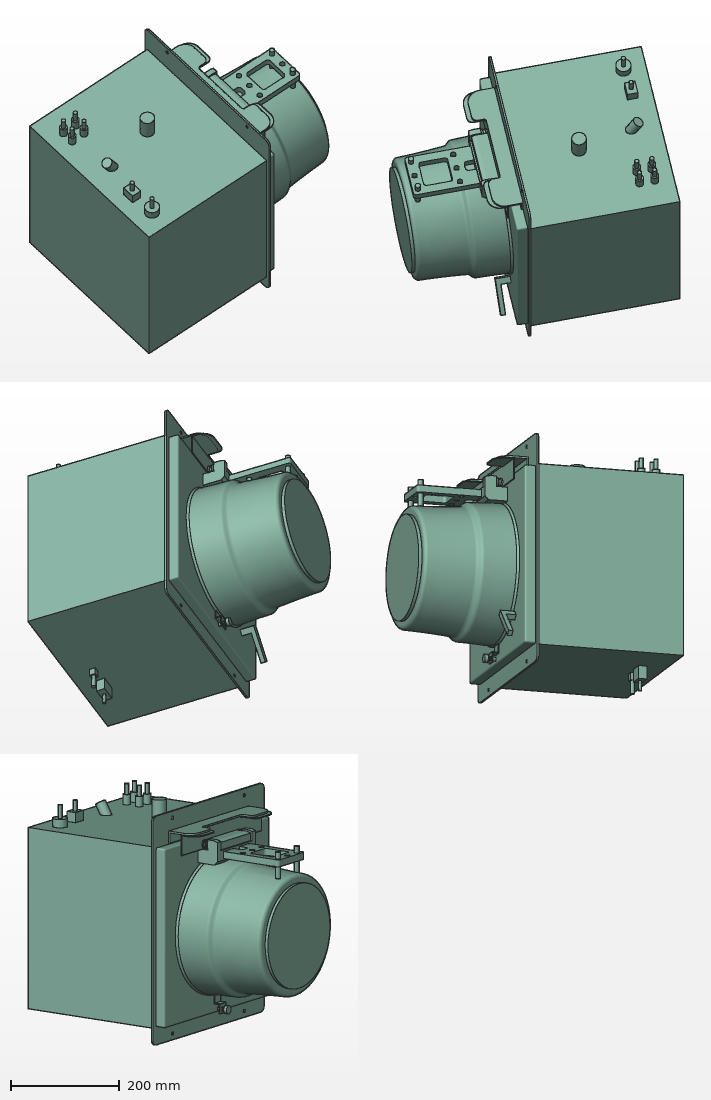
import cadquery as cq
import math


CABINET_SIDE = 342.0
CABINET_DEPTH = 282.0
CABINET_TOP = CABINET_SIDE / 2
CABINET_BOTTOM = -CABINET_SIDE / 2

FLANGE_WIDTH = 356.0
FLANGE_TOP = 228.5
FLANGE_BOTTOM = -203.0
FLANGE_THICKNESS = 3.5
FLANGE_CORNER_RADIUS = 11.5
FLANGE_BACK = CABINET_DEPTH + FLANGE_THICKNESS
FLANGE_HOLE_DIAMETER = 6.0
FLANGE_HOLE_X = 114.5
FLANGE_HOLE_HEIGHTS = (216.0, -190.5)

LEAD_DIAMETER = 8.0
LEAD_TIP = 210.0

PLUG_DIAMETER = 14.0
PLUG_TOP = 190.0
PLUG_XS = (-117.5, -92.5)
PLUG_YS = (36.0, 64.5)

SQUARE_PLUG_WIDTH = 25.5
SQUARE_PLUG_DEPTH = 19.5
SQUARE_PLUG_X = 76.0
SQUARE_PLUG_Y = 39.0

ROUND_PLUG_DIAMETER = 28.0
ROUND_PLUG_TOP = 186.5
ROUND_PLUG_X = 129.0
ROUND_PLUG_Y = 42.5
ROUND_PLUG_LEAD_TIP = 211.5

PIPE_DIAMETER = 27.0
PIPE_X = -23.0
PIPE_Y = 158.5

SPOUT_DIAMETER = 20.0
SPOUT_TILT = 30.0
SPOUT_TIP_Y = 42.0
SPOUT_TIP_Z = 192.5
SPOUT_LENGTH = 39.0

LOWER_PLUGS_Y = 47.5
WIDE_PLUG_WIDTH = 32.0
WIDE_PLUG_DEPTH = 16.0
WIDE_PLUG_X = -56.5
WIDE_PLUG_BOTTOM = -195.5
WIDE_PLUG_LEAD_DIAMETER = 6.0
WIDE_PLUG_LEAD_TIP = -214.5
NARROW_PLUG_SIDE = 11.5
NARROW_PLUG_X = -11.0
NARROW_PLUG_BOTTOM = -184.5
NARROW_PLUG_LEAD_TIP = -209.5

BRACKET_WIDTH = 254.0
EAR_OUTER_RADIUS = 23.5
EAR_INNER_RADIUS = 10.5
EAR_GAP_HALF_WIDTH = 64.5
EAR_GAP_CORNER_RADIUS = 4.5
EAR_GAP_FLOOR_Y = 314.5

UPPER_SHEET = 3.5
UPPER_BRACKET_TOP = 193.5
UPPER_BRACKET_END_Y = 339.5
UPPER_BRACKET_FOOT = 170.5
UPPER_BRACKET_BOTTOM = UPPER_BRACKET_TOP - UPPER_SHEET

LOWER_SHEET = 2.0
LOWER_BRACKET_TOP = UPPER_BRACKET_BOTTOM
LOWER_BRACKET_END_Y = 348.5
LOWER_BRACKET_LEG_Y = EAR_GAP_FLOOR_Y - LOWER_SHEET

DOOR_WIDTH = 334.5
DOOR_HEIGHT = 337.0
DOOR_BACK = 305.0
DOOR_EDGE_RADIUS = 3.5

LENS_AXIS_Z = -1.5
LENS_REAR_Y = 310.0
LENS_REAR_RADIUS = 131.5
LENS_FLARE = 2.5
SHOULDER_START_Y = 369.5
SHOULDER_START_RADIUS = 129.0
SHOULDER_EDGE_Y = 377.0
SHOULDER_EDGE_RADIUS = 126.0
NECK_EDGE_Y = 380.0
NECK_EDGE_RADIUS = 122.5
BARREL_START_Y = 385.0
BARREL_START_RADIUS = 120.0
BARREL_MIDDLE_Y = 430.0
BARREL_MIDDLE_RADIUS = 117.0
BARREL_END_Y = 474.0
BARREL_END_RADIUS = 115.0
RIM_Y = 482.5
RIM_ROUND = BARREL_END_RADIUS - 7.0
ARC_SAG = 0.5
CAP_RADIUS = 98.5
CAP_Y = 488.5

HINGE_HALF_WIDTH = 61.0
HINGE_MIDDLE_HALF_WIDTH = 50.0
HINGE_BOTTOM = 124.0
HINGE_BACK = 348.5
HINGE_MIDDLE_BACK = 345.0
HINGE_STEP_Z = 150.5
HINGE_MIDDLE_TOP = 167.0
HINGE_BEVEL_DEPTH = 8.5
HINGE_BEVEL_DROP = 2.5
HINGE_LOWER_BEVEL = 7.0
CHEEK_FRONT = 326.0
CHEEK_TOP = 170.0
HINGE_BOLT_X = 55.0
HINGE_BOLT_Z = 160.0
HINGE_BOLT_HEAD_DIAMETER = 16.5
HINGE_BOLT_HEAD_FRONT = 322.0
HINGE_BOLT_SHAFT_DIAMETER = 12.5
HINGE_WASHER_DIAMETER = 15.5
HINGE_WASHER_BACK = 317.5

ARM_WIDTH = 82.5
ARM_BOTTOM = 134.0
ARM_TOP = 147.0
ARM_END_Y = 472.5
ARM_CORNER_RADIUS = 5.0
WINDOW_WIDTH = 51.5
WINDOW_START_Y = 396.0
WINDOW_END_Y = 450.0
WINDOW_CORNER_RADIUS = 6.0
NOTCH_WIDTH = 20.0
NOTCH_END_Y = 368.0
NOTCH_CORNER_RADIUS = 6.0
ARM_HOLE_DIAMETER = 10.0
ARM_HOLE_SPACING = 30.0
ARM_HOLE_ROWS = (383.5, 463.0)
STUD_Y = ARM_HOLE_ROWS[1]
STUD_BOTTOM = 109.5
STUD_TOP = 159.5

LATCH_FRONT = 324.0
LATCH_BACK = 333.0
LATCH_WIDTH = 11.0
LATCH_LENGTH = 70.5
LATCH_FOOT_THICKNESS = 12.0
LATCH_TIP_X = -154.0
LATCH_TIP_Z = -144.5
LATCH_ANGLE = 45.0
BOLT_X = 0.0
BOLT_Z = -161.5
BOLT_HEAD_RADIUS = 8.0
BOLT_HEAD_BACK = 331.0
BOLT_NUT_FRONT = 321.0
BOLT_NUT_RADIUS = 5.5
BOLT_SHAFT_RADIUS = 4.0
BOLT_END_Y = 308.5
KEEPER_SHEET = 2.0
KEEPER_WIDTH = 19.5
KEEPER_TOP = -150.0
KEEPER_BOTTOM = -169.0
KEEPER_BACK = 318.0


def block(x_range, y_range, z_range):
    """Rectangular block between two limits along each axis."""
    low, high = zip(x_range, y_range, z_range)
    size = [b - a for a, b in zip(low, high)]
    return cq.Workplane("XY").box(*size, centered=False).translate(low)


def wide_block(width, y_range, z_range):
    """Rectangular block centred on X = 0."""
    return block((-width / 2, width / 2), y_range, z_range)


def upright(x, y, diameter, z_start, z_end):
    """Round bar parallel to Z."""
    bar = cq.Workplane("XY").circle(diameter / 2).extrude(z_end - z_start)
    return bar.translate((x, y, z_start))


def lengthwise(x, z, radius, y_start, y_end):
    """Round bar parallel to Y."""
    bar = cq.Workplane("XZ").circle(radius).extrude(y_start - y_end)
    return bar.translate((x, y_start, z))


def box_plug(x, y, width, depth, z_range):
    """Rectangular connector body centred at (x, y)."""
    return block((x - width / 2, x + width / 2), (y - depth / 2, y + depth / 2), z_range)



def mounting_flange():
    """Rounded plate on the back of the cabinet with four fixing holes."""
    plate = wide_block(FLANGE_WIDTH, (CABINET_DEPTH, FLANGE_BACK), (FLANGE_BOTTOM, FLANGE_TOP))
    plate = plate.edges("|Y").fillet(FLANGE_CORNER_RADIUS)
    for x in (-FLANGE_HOLE_X, FLANGE_HOLE_X):
        for z in FLANGE_HOLE_HEIGHTS:
            plate = plate.cut(lengthwise(x, z, FLANGE_HOLE_DIAMETER / 2, CABINET_DEPTH, FLANGE_BACK))
    return plate


def upper_connectors():
    """Plugs and leads on top of the cabinet."""
    parts = []
    for x in PLUG_XS:
        for y in PLUG_YS:
            parts.append(upright(x, y, PLUG_DIAMETER, CABINET_TOP, PLUG_TOP))
            parts.append(upright(x, y, LEAD_DIAMETER, PLUG_TOP, LEAD_TIP))

    square_heights = (CABINET_TOP, PLUG_TOP)
    parts.append(
        box_plug(SQUARE_PLUG_X, SQUARE_PLUG_Y, SQUARE_PLUG_WIDTH, SQUARE_PLUG_DEPTH, square_heights)
    )
    parts.append(upright(SQUARE_PLUG_X, SQUARE_PLUG_Y, LEAD_DIAMETER, PLUG_TOP, LEAD_TIP))

    parts.append(
        upright(ROUND_PLUG_X, ROUND_PLUG_Y, ROUND_PLUG_DIAMETER, CABINET_TOP, ROUND_PLUG_TOP)
    )
    parts.append(
        upright(ROUND_PLUG_X, ROUND_PLUG_Y, LEAD_DIAMETER, ROUND_PLUG_TOP, ROUND_PLUG_LEAD_TIP)
    )

    parts.append(upright(PIPE_X, PIPE_Y, PIPE_DIAMETER, CABINET_TOP, LEAD_TIP))
    return parts


def tilted_spout():
    """Round spout leaning toward the front; its lower end is buried in the cabinet."""
    spout = cq.Workplane("XY").circle(SPOUT_DIAMETER / 2).extrude(-SPOUT_LENGTH)
    spout = spout.rotate((0, 0, 0), (1, 0, 0), SPOUT_TILT)
    return spout.translate((0, SPOUT_TIP_Y, SPOUT_TIP_Z))


def lower_connectors():
    """Plugs and leads under the cabinet."""
    wide_heights = (WIDE_PLUG_BOTTOM, CABINET_BOTTOM)
    narrow_heights = (NARROW_PLUG_BOTTOM, CABINET_BOTTOM)
    y = LOWER_PLUGS_Y
    return [
        box_plug(WIDE_PLUG_X, y, WIDE_PLUG_WIDTH, WIDE_PLUG_DEPTH, wide_heights),
        upright(WIDE_PLUG_X, y, WIDE_PLUG_LEAD_DIAMETER, WIDE_PLUG_LEAD_TIP, WIDE_PLUG_BOTTOM),
        box_plug(NARROW_PLUG_X, y, NARROW_PLUG_SIDE, NARROW_PLUG_SIDE, narrow_heights),
        upright(NARROW_PLUG_X, y, LEAD_DIAMETER, NARROW_PLUG_LEAD_TIP, NARROW_PLUG_BOTTOM),
    ]


def eared_sheet(y_start, y_end, z_range):
    """Level sheet whose back edge has two rounded ears with a gap between them."""
    sheet = wide_block(BRACKET_WIDTH, (y_start, y_end), z_range)
    sheet = sheet.edges("|Z and >Y").fillet(EAR_OUTER_RADIUS)
    gap = wide_block(2 * EAR_GAP_HALF_WIDTH, (EAR_GAP_FLOOR_Y, y_end), z_range)
    sheet = sheet.cut(gap.edges("|Z and <Y").fillet(EAR_GAP_CORNER_RADIUS))
    gap_mouth = cq.selectors.BoxSelector(
        (-EAR_GAP_HALF_WIDTH - EAR_INNER_RADIUS, y_end - EAR_INNER_RADIUS, z_range[0]),
        (EAR_GAP_HALF_WIDTH + EAR_INNER_RADIUS, y_end + EAR_INNER_RADIUS, z_range[1]),
    )
    return sheet.edges("|Z").edges(gap_mouth).fillet(EAR_INNER_RADIUS)


def upper_bracket():
    """Bent sheet fixed to the flange above the door."""
    shelf_heights = (UPPER_BRACKET_BOTTOM, UPPER_BRACKET_TOP)
    shelf = eared_sheet(FLANGE_BACK, UPPER_BRACKET_END_Y, shelf_heights)
    leg = wide_block(
        BRACKET_WIDTH,
        (FLANGE_BACK, FLANGE_BACK + UPPER_SHEET),
        (UPPER_BRACKET_FOOT, UPPER_BRACKET_TOP),
    )
    return shelf.union(leg)


def make_housing():
    """Cabinet with flange, connectors and upper bracket."""
    body = wide_block(CABINET_SIDE, (0, CABINET_DEPTH), (CABINET_BOTTOM, CABINET_TOP))
    body = body.union(mounting_flange())
    body = body.union(upper_bracket())
    body = body.union(tilted_spout())
    for connector in upper_connectors() + lower_connectors():
        body = body.union(connector)
    return body



def door_panel():
    """Flat door with rounded back and corner edges."""
    panel = wide_block(DOOR_WIDTH, (FLANGE_BACK, DOOR_BACK), (-DOOR_HEIGHT / 2, DOOR_HEIGHT / 2))
    return panel.edges("|Y or >Y").fillet(DOOR_EDGE_RADIUS)


def lens():
    """Stepped lens barrel turned about an axis parallel to Y."""
    shoulder_middle = (SHOULDER_START_RADIUS - ARC_SAG, (SHOULDER_START_Y + SHOULDER_EDGE_Y) / 2)
    neck_middle_radius = (NECK_EDGE_RADIUS + BARREL_START_RADIUS) / 2 - ARC_SAG
    neck_middle = (neck_middle_radius, (NECK_EDGE_Y + BARREL_START_Y) / 2)
    bulge = 1 - math.sqrt(0.5)
    rim_middle = (
        BARREL_END_RADIUS - bulge * (BARREL_END_RADIUS - RIM_ROUND),
        RIM_Y - bulge * (RIM_Y - BARREL_END_Y),
    )
    profile = (
        cq.Workplane("XY")
        .moveTo(0, FLANGE_BACK)
        .lineTo(LENS_REAR_RADIUS + LENS_FLARE, FLANGE_BACK)
        .lineTo(LENS_REAR_RADIUS + LENS_FLARE, DOOR_BACK)
        .lineTo(LENS_REAR_RADIUS, LENS_REAR_Y)
        .lineTo(SHOULDER_START_RADIUS, SHOULDER_START_Y)
        .threePointArc(shoulder_middle, (SHOULDER_EDGE_RADIUS, SHOULDER_EDGE_Y))
        .lineTo(NECK_EDGE_RADIUS, NECK_EDGE_Y)
        .threePointArc(neck_middle, (BARREL_START_RADIUS, BARREL_START_Y))
        .threePointArc((BARREL_MIDDLE_RADIUS, BARREL_MIDDLE_Y), (BARREL_END_RADIUS, BARREL_END_Y))
        .threePointArc(rim_middle, (RIM_ROUND, RIM_Y))
        .lineTo(CAP_RADIUS, RIM_Y)
        .lineTo(CAP_RADIUS, CAP_Y)
        .lineTo(0, CAP_Y)
        .close()
    )
    return profile.revolve(360, (0, 0), (0, 1)).translate((0, 0, LENS_AXIS_Z))


def side_extrusion(points, x_start, x_end):
    """Outline given as (y, z) points, extruded along X."""
    outline = cq.Workplane("YZ").polyline(points).close()
    return outline.extrude(x_end - x_start).translate((x_start, 0, 0))


def hinge_block():
    """Stepped block above the lens with a raised cheek at each end."""
    base = side_extrusion(
        [
            (DOOR_BACK, HINGE_BOTTOM),
            (HINGE_BACK - HINGE_LOWER_BEVEL, HINGE_BOTTOM),
            (HINGE_BACK, HINGE_BOTTOM + HINGE_LOWER_BEVEL),
            (HINGE_BACK, HINGE_STEP_Z),
            (DOOR_BACK, HINGE_STEP_Z),
        ],
        -HINGE_HALF_WIDTH,
        HINGE_HALF_WIDTH,
    )
    middle = side_extrusion(
        [
            (EAR_GAP_FLOOR_Y, HINGE_STEP_Z),
            (HINGE_MIDDLE_BACK, HINGE_STEP_Z),
            (HINGE_MIDDLE_BACK, HINGE_MIDDLE_TOP - HINGE_BEVEL_DROP),
            (HINGE_MIDDLE_BACK - HINGE_BEVEL_DEPTH, HINGE_MIDDLE_TOP),
            (EAR_GAP_FLOOR_Y, HINGE_MIDDLE_TOP),
        ],
        -HINGE_MIDDLE_HALF_WIDTH,
        HINGE_MIDDLE_HALF_WIDTH,
    )
    cheek_outline = [
        (CHEEK_FRONT, HINGE_STEP_Z),
        (HINGE_BACK, HINGE_STEP_Z),
        (HINGE_BACK, CHEEK_TOP - HINGE_BEVEL_DROP),
        (HINGE_BACK - HINGE_BEVEL_DEPTH, CHEEK_TOP),
        (CHEEK_FRONT, CHEEK_TOP),
    ]
    hinge = base.union(middle)
    for x in (-HINGE_HALF_WIDTH, HINGE_MIDDLE_HALF_WIDTH):
        cheek = side_extrusion(cheek_outline, x, x + HINGE_HALF_WIDTH - HINGE_MIDDLE_HALF_WIDTH)
        hinge = hinge.union(cheek)
    return hinge


def hinge_bolts():
    """Two bolts joining the cheeks to the leg of the lower bracket."""
    bolts = []
    for x in (-HINGE_BOLT_X, HINGE_BOLT_X):
        head_radius = HINGE_BOLT_HEAD_DIAMETER / 2
        shaft_radius = HINGE_BOLT_SHAFT_DIAMETER / 2
        head = lengthwise(x, HINGE_BOLT_Z, head_radius, HINGE_BOLT_HEAD_FRONT, CHEEK_FRONT)
        shaft = lengthwise(x, HINGE_BOLT_Z, shaft_radius, EAR_GAP_FLOOR_Y, HINGE_BOLT_HEAD_FRONT)
        washer_radius = HINGE_WASHER_DIAMETER / 2
        washer = lengthwise(x, HINGE_BOLT_Z, washer_radius, EAR_GAP_FLOOR_Y, HINGE_WASHER_BACK)
        bolts.append(head.union(shaft).union(washer))
    return bolts


def lower_bracket():
    """Bent sheet standing on the hinge block, under the upper bracket."""
    shelf_heights = (LOWER_BRACKET_TOP - LOWER_SHEET, LOWER_BRACKET_TOP)
    shelf = eared_sheet(LOWER_BRACKET_LEG_Y, LOWER_BRACKET_END_Y, shelf_heights)
    leg = wide_block(
        BRACKET_WIDTH, (LOWER_BRACKET_LEG_Y, EAR_GAP_FLOOR_Y), (HINGE_STEP_Z, LOWER_BRACKET_TOP)
    )
    return shelf.union(leg)


def arm():
    """Flat arm with a window, a notch, two rows of holes and two studs."""
    heights = (ARM_BOTTOM, ARM_TOP)
    plate = wide_block(ARM_WIDTH, (HINGE_BACK, ARM_END_Y), heights)
    plate = plate.edges("|Z and >Y").fillet(ARM_CORNER_RADIUS)

    window = wide_block(WINDOW_WIDTH, (WINDOW_START_Y, WINDOW_END_Y), heights)
    plate = plate.cut(window.edges("|Z").fillet(WINDOW_CORNER_RADIUS))

    notch = wide_block(NOTCH_WIDTH, (HINGE_BACK, NOTCH_END_Y), heights)
    plate = plate.cut(notch.edges("|Z and >Y").fillet(NOTCH_CORNER_RADIUS))

    for x in (-ARM_HOLE_SPACING, 0, ARM_HOLE_SPACING):
        for y in ARM_HOLE_ROWS:
            plate = plate.cut(upright(x, y, ARM_HOLE_DIAMETER, ARM_BOTTOM, ARM_TOP))

    for x in (-ARM_HOLE_SPACING, ARM_HOLE_SPACING):
        plate = plate.union(upright(x, STUD_Y, ARM_HOLE_DIAMETER, STUD_BOTTOM, STUD_TOP))
    return plate


def latch_lever():
    """Slanting bar with a foot that joins it to the door."""
    bar = block((0, LATCH_LENGTH), (LATCH_FRONT, LATCH_BACK), (-LATCH_WIDTH, 0))
    foot = block(
        (LATCH_LENGTH - LATCH_FOOT_THICKNESS, LATCH_LENGTH), (DOOR_BACK, LATCH_BACK), (-LATCH_WIDTH, 0)
    )
    lever = bar.union(foot).rotate((0, 0, 0), (0, 1, 0), -LATCH_ANGLE)
    return lever.translate((LATCH_TIP_X, 0, LATCH_TIP_Z))


def latch_bolt():
    """Headed bolt with its nut, held in the keeper."""
    head = lengthwise(BOLT_X, BOLT_Z, BOLT_HEAD_RADIUS, LATCH_FRONT, BOLT_HEAD_BACK)
    nut = lengthwise(BOLT_X, BOLT_Z, BOLT_NUT_RADIUS, BOLT_NUT_FRONT, LATCH_FRONT)
    shaft = lengthwise(BOLT_X, BOLT_Z, BOLT_SHAFT_RADIUS, BOLT_END_Y, BOLT_NUT_FRONT)
    return head.union(nut).union(shaft)


def keeper():
    """Small bent sheet on the door that holds the latch bolt."""
    width = (BOLT_X - KEEPER_WIDTH / 2, BOLT_X + KEEPER_WIDTH / 2)
    shelf = block(width, (DOOR_BACK, KEEPER_BACK), (KEEPER_TOP - KEEPER_SHEET, KEEPER_TOP))
    leg = block(width, (KEEPER_BACK - KEEPER_SHEET, KEEPER_BACK), (KEEPER_BOTTOM, KEEPER_TOP))
    foot = block(width, (DOOR_BACK, DOOR_BACK + KEEPER_SHEET), (KEEPER_TOP, LENS_AXIS_Z - LENS_REAR_RADIUS))
    return shelf.union(leg).union(foot)


def make_door():
    """Door with lens, hinge, lower bracket, arm and latch."""
    body = door_panel().union(lens()).union(hinge_block())
    for bolt in hinge_bolts():
        body = body.union(bolt)
    body = body.union(lower_bracket()).union(arm())
    return body.union(latch_lever()).union(latch_bolt()).union(keeper())


housing = make_housing()
door = make_door()

result = cq.Compound.makeCompound([housing.val(), door.val()])